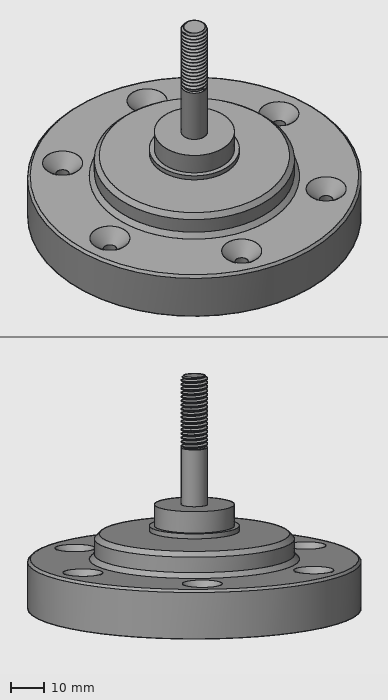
import cadquery as cq
import math

flange_diameter = 100.0
flange_thickness = 15.0
flange_chamfer = 0.8
platform_diameter = 60.0
platform_height = 7.7
platform_chamfer = 1.5
boss_diameter = 13.0
boss_height = 1.0

mount_count = 6
mount_circle_radius = 40.0
mount_first_angle = 90.0
mount_hole_diameter = 4.0
countersink_diameter = 12.0
countersink_angle = 90.0

bearing_diameter = 24.0
bearing_width = 8.0
bearing_flange_diameter = 27.0
bearing_flange_width = 1.5

stud_diameter = 8.0
stud_top = 71.0
thread_root_diameter = 6.4
thread_length = 22.0
thread_turns = 17.6
thread_pitch = thread_length / thread_turns
thread_crest_width = thread_pitch / 8
thread_angle = 60.0
thread_sink = 0.1
thread_clearance = 0.5

platform_top = flange_thickness + platform_height
bearing_bottom = platform_top + boss_height
thread_bottom = stud_top - thread_length


def make_base():
    """Flange, platform and boss turned as one profile, then bored and drilled."""
    flange_radius = flange_diameter / 2
    platform_radius = platform_diameter / 2
    boss_radius = boss_diameter / 2
    profile = [
        (0, 0),
        (flange_radius, 0),
        (flange_radius, flange_thickness - flange_chamfer),
        (flange_radius - flange_chamfer, flange_thickness),
        (platform_radius + platform_chamfer, flange_thickness),
        (platform_radius, flange_thickness + platform_chamfer),
        (platform_radius, platform_top - platform_chamfer),
        (platform_radius - platform_chamfer, platform_top),
        (boss_radius, platform_top),
        (boss_radius, bearing_bottom),
        (0, bearing_bottom),
    ]
    body = cq.Workplane("XZ").polyline(profile).close().revolve(360, (0, 0), (0, 1))
    stud_hole = cq.Workplane("XY").circle(stud_diameter / 2).extrude(bearing_bottom)
    return (
        body.cut(stud_hole)
        .copyWorkplane(cq.Workplane("XY", origin=(0, 0, flange_thickness)))
        .polarArray(mount_circle_radius, mount_first_angle, 360, mount_count)
        .cskHole(mount_hole_diameter, countersink_diameter, countersink_angle)
    )


def make_bearing():
    """Ring with a thin flange at its lower end, bored to fit the stud."""
    ring = cq.Workplane("XY", origin=(0, 0, bearing_bottom))
    flange = ring.circle(bearing_flange_diameter / 2).extrude(bearing_flange_width)
    bore = ring.circle(stud_diameter / 2).extrude(bearing_width)
    return ring.circle(bearing_diameter / 2).extrude(bearing_width).union(flange).cut(bore)


def make_thread_envelope():
    """Space the ridge may fill: from the shank's end up to a cone that chamfers the tip."""
    core_radius = thread_root_diameter / 2
    outer_radius = stud_diameter / 2 + thread_clearance
    cone_height = outer_radius - core_radius
    outline = [
        (0, thread_bottom),
        (outer_radius, thread_bottom),
        (outer_radius, stud_top - cone_height),
        (core_radius, stud_top),
        (0, stud_top),
    ]
    return cq.Workplane("XZ").polyline(outline).close().revolve(360, (0, 0), (0, 1))


def make_thread_ridge():
    """Right-hand helical ridge whose foot is sunk a little into the threaded core."""
    foot_radius = thread_root_diameter / 2 - thread_sink
    crest_radius = stud_diameter / 2
    crest_half = thread_crest_width / 2
    foot_half = crest_half + (crest_radius - foot_radius) * math.tan(math.radians(thread_angle / 2))
    helix_bottom = thread_bottom + thread_pitch / 4
    helix_height = thread_length + thread_pitch
    helix = cq.Wire.makeHelix(thread_pitch, helix_height, foot_radius, cq.Vector(0, 0, helix_bottom))
    section = [
        (foot_radius, helix_bottom - foot_half),
        (crest_radius, helix_bottom - crest_half),
        (crest_radius, helix_bottom + crest_half),
        (foot_radius, helix_bottom + foot_half),
    ]
    ridge = cq.Workplane("XZ").polyline(section).close().sweep(cq.Workplane(helix), isFrenet=True)
    return ridge.intersect(make_thread_envelope())


def make_stud():
    """Plain shank through base and bearing, then a thinner core that carries the thread."""
    shank = cq.Workplane("XY").circle(stud_diameter / 2).extrude(thread_bottom)
    core = shank.faces(">Z").workplane().circle(thread_root_diameter / 2).extrude(thread_length)
    return core.union(make_thread_ridge())


base = make_base().solids()
bearing = make_bearing().solids()
stud = make_stud().solids()

result = cq.Compound.makeCompound([base.val(), bearing.val(), stud.val()])